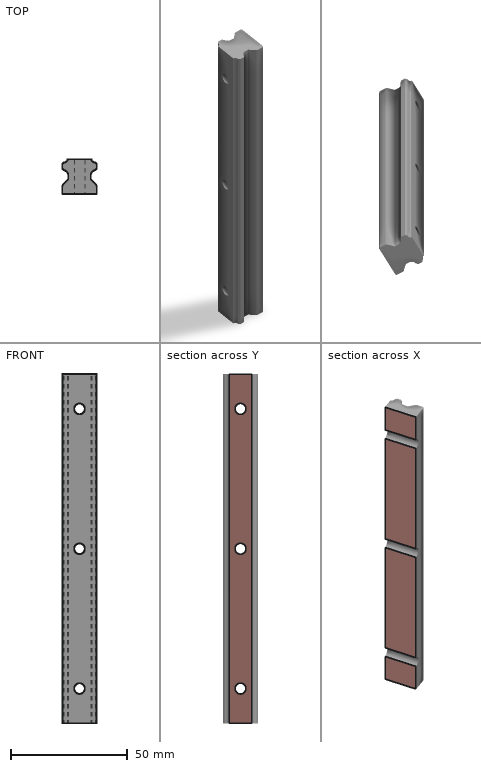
import cadquery as cq

width = 15.0
height = 15.0
length = 150.0

half_width = width / 2
base_chamfer = 0.4
base_top = 3.4
flank_half_width = 7.2
flank_bottom = 4.05
neck_half_width = 4.85
neck_bottom = flank_bottom + flank_half_width - neck_half_width
neck_top = 8.25
head_bottom = 11.05
head_top = 12.9
head_chamfer = 0.75
head_chamfer_half_width = half_width - head_chamfer
groove_radius = 2.3
shoulder_radius = 1.8
crown_half_width = 5.2
crown_bottom = 14.5

hole_diameter = 4.5
hole_pitch = 60.0
hole_count = 3


def half_profile():
    """Right half of the cross-section, closed along the centre plane."""
    return (
        cq.Workplane("XY")
        .lineTo(half_width - base_chamfer, 0)
        .lineTo(half_width, base_chamfer)
        .lineTo(half_width, base_top)
        .lineTo(flank_half_width, flank_bottom)
        .lineTo(neck_half_width, neck_bottom)
        .lineTo(neck_half_width, neck_top)
        .radiusArc((head_chamfer_half_width, head_bottom - head_chamfer), groove_radius)
        .lineTo(half_width, head_bottom)
        .lineTo(half_width, head_top)
        .lineTo(head_chamfer_half_width, head_top + head_chamfer)
        .radiusArc((crown_half_width, crown_bottom), shoulder_radius)
        .lineTo(crown_half_width, height)
        .lineTo(0, height)
        .close()
    )


def rail_body():
    half = half_profile().extrude(length)
    return half.union(half.mirror("YZ")).clean()


def mounting_holes():
    """Evenly pitched through holes along Y, centred on the rail length."""
    return (
        cq.Workplane("XZ", origin=(0, 0, length / 2))
        .rarray(1, hole_pitch, 1, hole_count)
        .circle(hole_diameter / 2)
        .extrude(-height)
    )


result = rail_body().cut(mounting_holes())